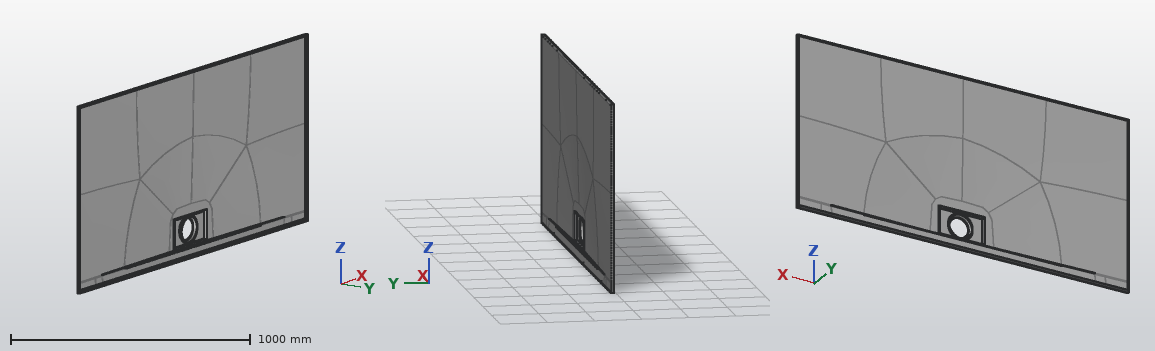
import cadquery as cq
import math

WIDTH = 1600.0
HEIGHT = 800.0
DEPTH = 42.0
RIM_DEPTH = 14.0
BACK_ROUND = 3.5
SKIN = 4.0

RIM = 5.0
RIM_BOTTOM = 9.0
HALF_PAN = WIDTH / 2 - RIM
PAN_TOP = HEIGHT - RIM

EDGE_DEPTH = SKIN
NODE_DEPTH = 7.5
CREST_DEPTH = 8.5
SPREAD_DEPTH = 11.0
PLATE_DEPTH = 17.0

TOP_CREASE = WIDTH / 4
SIDE_CREASE = 423.0
NODE_X = 373.0
NODE_Z = 407.0
CREST_Z = 517.0
FOOT_CREASE = 478.0
PAN_FOOT = 48.0

UPPER_MID = (-393.0, 610.0, 5.8)
SIDE_MID = (-580.0, 418.0, 5.8)
LOWER_MID = (-444.0, 237.0, 9.0)
INNER_MID = (-198.0, 481.0, 8.2)

PLATE_TOP = 229.0
PLATE_SHOULDER = (-100.0, 225.0)
PLATE_CORNER = (-128.0, 207.0)
PLATE_SIDE = (-145.0, 178.0)
PLATE_FOOT_X = 154.0

BAND_TOP = 43.0
BAND_DEPTH = 7.5
BAND_END_DEPTH = 6.0
BAND_HALF = 637.0
BAND_RUNOUT = 50.0
BAND_END = BAND_HALF + BAND_RUNOUT

BOX_FRONT = 28.0
BOX_HALF = 107.0
BOX_TOP = 178.0
BOX_FOOT = 53.0
BOX_FLARE = 5.0
DRAIN_Z = 115.0
BOSS_RADIUS = 60.0
BOSS_END_RADIUS = 49.0
HOLE_RADIUS = 46.0
CAVITY_OVERLAP = 1.0


def point(x, z, depth):
    return cq.Vector(x, -depth, z)


def line(start, end):
    return cq.Edge.makeLine(start, end)


def polyline(points):
    return [line(start, end) for start, end in zip(points, points[1:])]


def flat_face(points, holes=()):
    outer = cq.Wire.makePolygon(points, close=True)
    return cq.Face.makeFromWires(outer, list(holes))


def rectangle(x_half, z_low, z_high, depth):
    """Corners of a rectangle centred on the middle of the tray."""
    corners = ((-x_half, z_low), (x_half, z_low), (x_half, z_high), (-x_half, z_high))
    return [point(x, z, depth) for x, z in corners]


def mirrored(faces):
    return [face.mirror("YZ") for face in faces]


TOP_LEFT = point(-HALF_PAN, PAN_TOP, EDGE_DEPTH)
TOP_AT_CREASE = point(-TOP_CREASE, PAN_TOP, EDGE_DEPTH)
TOP_CENTRE = point(0, PAN_TOP, EDGE_DEPTH)
SIDE_AT_CREASE = point(-HALF_PAN, SIDE_CREASE, EDGE_DEPTH)
NODE = point(-NODE_X, NODE_Z, NODE_DEPTH)
CREST = point(0, CREST_Z, CREST_DEPTH)
PLATE_EDGE_TOP = [point(0, PLATE_TOP, PLATE_DEPTH)]
PLATE_EDGE_TOP += [point(x, z, PLATE_DEPTH) for x, z in (PLATE_SHOULDER, PLATE_CORNER)]
PLATE_EDGE_SIDE = [point(x, z, PLATE_DEPTH) for x, z in (PLATE_CORNER, PLATE_SIDE)]
PLATE_EDGE_SIDE += [point(-PLATE_FOOT_X, PAN_FOOT, PLATE_DEPTH)]


def end_foot_depth(x):
    """Depth of the pan foot between the side rim and the foot crease."""
    share = (HALF_PAN - x) / (HALF_PAN - FOOT_CREASE)
    return EDGE_DEPTH + share * (SPREAD_DEPTH - EDGE_DEPTH)


FOOT_AT_CREASE = point(-FOOT_CREASE, PAN_FOOT, SPREAD_DEPTH)
FOOT_AT_PLATE = PLATE_EDGE_SIDE[-1]
FOOT_CENTRE = point(0, PAN_FOOT, PLATE_DEPTH)
END_FOOT_LINE = [point(-x, PAN_FOOT, end_foot_depth(x)) for x in (HALF_PAN, BAND_END, BAND_HALF)]
END_FOOT_LINE.append(FOOT_AT_CREASE)
PAN_FOOT_LINE = [*END_FOOT_LINE, FOOT_AT_PLATE, FOOT_CENTRE]
BAND_LINE = [point(-HALF_PAN, BAND_TOP, EDGE_DEPTH), point(-BAND_END, BAND_TOP, BAND_END_DEPTH)]
BAND_LINE += [point(-x, BAND_TOP, BAND_DEPTH) for x in (BAND_HALF, FOOT_CREASE, PLATE_FOOT_X, 0)]
BAND_BOTTOM_LINE = [point(-x, RIM_BOTTOM, EDGE_DEPTH) for x in (HALF_PAN, BAND_END, BAND_HALF, 0)]


def left_panels():
    """The five sloping panels left of the centre line."""
    upper = cq.Edge.makeThreePointArc(TOP_AT_CREASE, point(*UPPER_MID), NODE)
    side = cq.Edge.makeThreePointArc(SIDE_AT_CREASE, point(*SIDE_MID), NODE)
    lower = cq.Edge.makeThreePointArc(NODE, point(*LOWER_MID), FOOT_AT_CREASE)
    inner = cq.Edge.makeThreePointArc(NODE, point(*INNER_MID), CREST)
    diagonal = line(NODE, PLATE_EDGE_SIDE[0])
    outlines = [
        [*polyline([SIDE_AT_CREASE, TOP_LEFT, TOP_AT_CREASE]), upper, side],
        [*polyline([TOP_AT_CREASE, TOP_CENTRE, CREST]), inner, upper],
        [side, lower, *polyline([SIDE_AT_CREASE, *END_FOOT_LINE])],
        [lower, diagonal, *polyline(PLATE_EDGE_SIDE), line(FOOT_AT_CREASE, FOOT_AT_PLATE)],
        [inner, line(CREST, PLATE_EDGE_TOP[0]), *polyline(PLATE_EDGE_TOP), diagonal],
    ]
    return [cq.Face.makeNSidedSurface(outline, []) for outline in outlines]


def left_plate():
    return flat_face([*PLATE_EDGE_TOP, *PLATE_EDGE_SIDE[1:], FOOT_CENTRE])


def left_wall_and_band():
    """Sloped wall below the pan, and the band under it."""
    wall = []
    for upper, lower in zip(polyline(PAN_FOOT_LINE), polyline(BAND_LINE)):
        wall.append(cq.Face.makeRuledSurface(upper, lower))
    ends = zip(polyline(BAND_LINE[:3]), polyline(BAND_BOTTOM_LINE[:3]))
    band = [cq.Face.makeRuledSurface(upper, lower) for upper, lower in ends]
    band.append(flat_face([*BAND_LINE[2:], *BAND_BOTTOM_LINE[:1:-1]]))
    return wall + band


def left_rim_walls():
    """Inward faces of the rim, from its front down to the floor."""
    low_left, _, _, high_left = rectangle(HALF_PAN, RIM_BOTTOM, PAN_TOP, RIM_DEPTH)
    top_front = point(0, PAN_TOP, RIM_DEPTH)
    bottom_front = point(0, RIM_BOTTOM, RIM_DEPTH)
    side_floor = [BAND_BOTTOM_LINE[0], BAND_LINE[0], PAN_FOOT_LINE[0], SIDE_AT_CREASE, TOP_LEFT]
    return [
        flat_face([TOP_LEFT, TOP_AT_CREASE, TOP_CENTRE, top_front, high_left]),
        flat_face([*side_floor, high_left, low_left]),
        flat_face([*BAND_BOTTOM_LINE, bottom_front, low_left]),
    ]


def tray_shell():
    """Rim and thin floor; the floor has the same shape on both of its sides."""
    left_floor = [*left_panels(), left_plate(), *left_wall_and_band()]
    floor = left_floor + mirrored(left_floor)
    rim_walls = left_rim_walls()
    blank = cq.Workplane("XY").box(WIDTH, RIM_DEPTH, HEIGHT, centered=(True, False, False))
    blank = blank.translate((0, -RIM_DEPTH, 0)).faces(">Y").edges().fillet(BACK_ROUND)
    faces = blank.faces("not (<Y or >Y)").vals()
    for depth, inset in ((0, BACK_ROUND), (RIM_DEPTH, 0)):
        opening = cq.Wire.makePolygon(rectangle(HALF_PAN, RIM_BOTTOM, PAN_TOP, depth), close=True)
        outline = rectangle(WIDTH / 2 - inset, inset, HEIGHT - inset, depth)
        faces.append(flat_face(outline, [opening]))
    faces += floor + [face.translate(cq.Vector(0, SKIN, 0)) for face in floor]
    faces += rim_walls + mirrored(rim_walls)
    return cq.Workplane(cq.Solid.makeSolid(cq.Shell.makeShell(faces)))


def box_solid(inset, back_depth):
    """Flared block, `inset` inside the drain box, from its front to `back_depth`."""
    front_depth = BOX_FRONT - inset
    flare_angle = math.degrees(math.atan(BOX_FLARE / (BOX_FRONT - PLATE_DEPTH)))
    plane = cq.Workplane("XZ", origin=(0, -front_depth, (BOX_TOP + BOX_FOOT) / 2))
    block = plane.rect(2 * (BOX_HALF - inset), BOX_TOP - BOX_FOOT - 2 * inset)
    return block.extrude(back_depth - front_depth, taper=-flare_angle)


def drain_cone(base_radius, end_radius):
    """Cone from the front of the drain box to the end of the boss."""
    cone = cq.Workplane("XZ", origin=(0, -BOX_FRONT, DRAIN_Z)).circle(base_radius)
    return cone.workplane(offset=DEPTH - BOX_FRONT).circle(end_radius).loft()


def drain_opening():
    """Round opening through the front wall of the box and out through the boss."""
    inner_radius = BOSS_RADIUS - SKIN
    entry = cq.Workplane("XZ", origin=(0, -BOX_FRONT + SKIN, DRAIN_Z)).circle(inner_radius).extrude(SKIN)
    return entry.union(drain_cone(inner_radius, HOLE_RADIUS))


body = tray_shell().union(box_solid(0, PLATE_DEPTH - SKIN / 2))
body = body.union(drain_cone(BOSS_RADIUS, BOSS_END_RADIUS))
body = body.cut(box_solid(SKIN, PLATE_DEPTH - SKIN - CAVITY_OVERLAP))
result = body.cut(drain_opening()).solids()